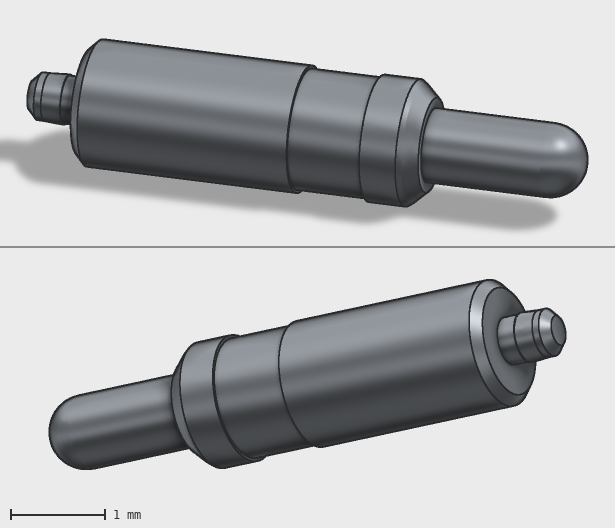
import cadquery as cq
import math

total_length = 6.1

barrel_diameter = 1.36
barrel_radius = barrel_diameter / 2
barrel_start = 0.6
barrel_chamfer = 0.105
neck_start = 3.0
neck_radius = 0.645
collar_start = 3.8
collar_end = 4.195
shoulder_start = 4.25
shoulder_radius = 0.64
barrel_end = 4.4
mouth_radius = 0.505

tail_radius = 0.255
tail_chamfer = 0.1

ring_start = 0.175
lip_start = 0.37
ring_end = 0.39
ring_radius = 0.27
ring_bow = 0.001

plunger_radius = 0.395
dome_start = total_length - plunger_radius
bore_bottom = neck_start


def turn(outline):
    """Revolve a closed half outline about the X axis."""
    return outline.close().revolve(360, (0, 0, 0), (1, 0, 0))


def make_barrel():
    """Chamfered barrel with neck, collar, tail pin and plunger bore."""
    outline = (
        cq.Workplane("XY")
        .moveTo(0, 0)
        .lineTo(0, tail_radius - tail_chamfer)
        .lineTo(tail_chamfer, tail_radius)
        .lineTo(barrel_start, tail_radius)
        .lineTo(barrel_start, barrel_radius - barrel_chamfer)
        .lineTo(barrel_start + barrel_chamfer, barrel_radius)
        .lineTo(neck_start, barrel_radius)
        .lineTo(neck_start, neck_radius)
        .lineTo(collar_start, neck_radius)
        .lineTo(collar_start, barrel_radius)
        .lineTo(collar_end, barrel_radius)
        .lineTo(shoulder_start, shoulder_radius)
        .lineTo(barrel_end, mouth_radius)
        .lineTo(barrel_end, plunger_radius)
        .lineTo(bore_bottom, plunger_radius)
        .lineTo(bore_bottom, 0)
    )
    return turn(outline)


def make_ring():
    """Thin ring around the tail with a rounded, rising outer face."""
    arc_middle = ((ring_start + lip_start) / 2, (tail_radius + ring_radius) / 2 + ring_bow)
    outline = (
        cq.Workplane("XY")
        .moveTo(ring_start, tail_radius)
        .threePointArc(arc_middle, (lip_start, ring_radius))
        .lineTo(ring_end, ring_radius)
        .lineTo(ring_end, tail_radius)
    )
    return turn(outline)


def make_plunger():
    """Round pin with a hemispherical contact tip."""
    diagonal = plunger_radius * math.sqrt(0.5)
    outline = (
        cq.Workplane("XY")
        .moveTo(bore_bottom, 0)
        .lineTo(bore_bottom, plunger_radius)
        .lineTo(dome_start, plunger_radius)
        .threePointArc((dome_start + diagonal, diagonal), (total_length, 0))
    )
    return turn(outline)


barrel = make_barrel()
ring = make_ring()
plunger = make_plunger()

result = cq.Compound.makeCompound([barrel.val(), ring.val(), plunger.val()])